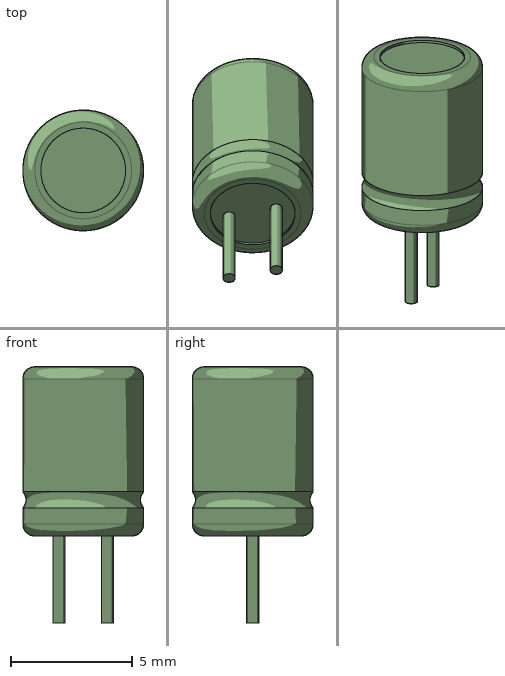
import cadquery as cq


outer_radius = 5.0 / 2
body_height = 7.0
edge_radius = 0.5
wall = 0.1
lip_opening_radius = 1.75

groove_height = 1.5
groove_radius = 0.5
groove_depth = 0.13

lead_diameter = 0.5
lead_pitch = 2.0
lead_length = 3.6


def body_of_revolution(inset):
    """Rounded, grooved cylinder lying the given distance inside the sleeve's outer surface."""
    radius = outer_radius - inset
    bottom = inset
    top = body_height - inset
    rounding = edge_radius - inset
    cylinder = (
        cq.Workplane("XY", origin=(0, 0, bottom))
        .circle(radius)
        .extrude(top - bottom)
        .edges()
        .fillet(rounding)
    )
    groove_ring = cq.Workplane(
        cq.Solid.makeTorus(
            outer_radius - groove_depth + groove_radius,
            groove_radius + inset,
            cq.Vector(0, 0, groove_height),
            cq.Vector(0, 0, 1),
        )
    )
    return cylinder.cut(groove_ring)


def make_can():
    """Solid can that fills the inside of the sleeve."""
    return body_of_revolution(wall)


def make_sleeve():
    """Thin sleeve wrapped around the can, with a round opening at each end."""
    end_openings = cq.Workplane("XY").circle(lip_opening_radius).extrude(body_height)
    return body_of_revolution(0).cut(make_can()).cut(end_openings)


def make_lead(x):
    """Straight wire hanging from the can's recessed underside."""
    return (
        cq.Workplane("XY", origin=(x, 0, -lead_length))
        .circle(lead_diameter / 2)
        .extrude(lead_length + wall)
    )


can = make_can()
sleeve = make_sleeve()
leads = [make_lead(side * lead_pitch / 2) for side in (-1, 1)]

result = cq.Compound.makeCompound(
    [
        *sleeve.solids().vals(),
        *can.solids().vals(),
        *[lead.val() for lead in leads],
    ]
)